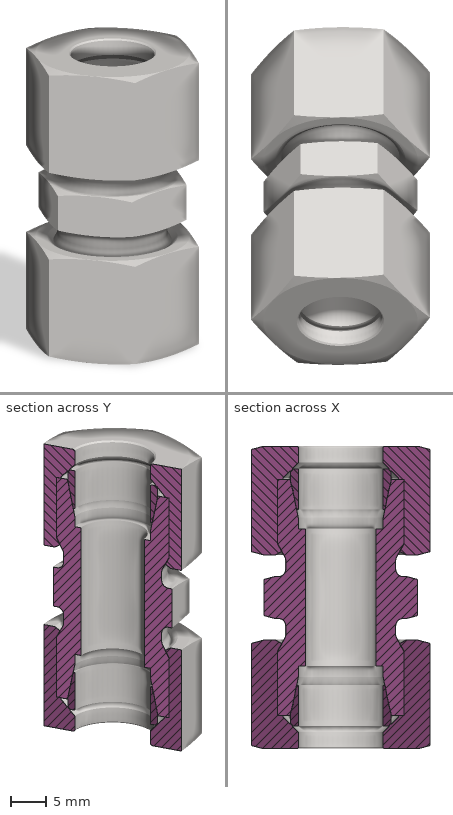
import cadquery as cq
import math


total_length = 43.0
bore_diameter = 10.0
tube_diameter = 12.0
thread_diameter = 18.0
hex_chamfer_angle = math.radians(15)
hex_turn = 30

nut_across_flats = 22.0
nut_length = 15.5
nut_face_diameter = 21.95
nut_core_diameter = 16.4
nut_mouth_diameter = 18.5
nut_mouth_angle = math.radians(60)
nut_hole_depth = 2.35
nut_rim_chamfer = 0.2

fitting_across_flats = 18.9
fitting_hex_height = 6.0
fitting_face_diameter = 18.7
neck_diameter = 15.7
neck_fillet = 1.0
runout_angle = math.radians(30)
runout_start = 5.3
seat_mouth_diameter = 14.3
seat_half_angle = math.radians(12)
fitting_end_gap = 4.75
socket_depth = 7.0

ring_end_gap = 3.22
ring_length = 5.8

nut_top = total_length / 2
nut_bottom = nut_top - nut_length
nut_cone_top = nut_top - nut_hole_depth
fitting_end = nut_top - fitting_end_gap
tube_stop = fitting_end - socket_depth
ring_top = nut_top - ring_end_gap
ring_bottom = ring_top - ring_length

bore_radius = bore_diameter / 2
tube_radius = tube_diameter / 2
thread_radius = thread_diameter / 2
neck_radius = neck_diameter / 2
seat_mouth_radius = seat_mouth_diameter / 2
seat_bottom = fitting_end - (seat_mouth_radius - tube_radius) / math.tan(seat_half_angle)


def revolved(profile):
    """Turn a closed (radius, z) profile about the Z axis."""
    return profile.close().revolve(360, (0, 0, 0), (0, 1, 0))


def chamfered_hexagon(across_flats, face_diameter, bottom, top):
    """Hexagonal prism with flats facing X and conical chamfers on both ends."""
    corner_radius = across_flats / math.sqrt(3)
    face_radius = face_diameter / 2
    drop = (corner_radius - face_radius) * math.tan(hex_chamfer_angle)
    prism = (
        cq.Workplane("XY")
        .workplane(offset=bottom)
        .polygon(6, 2 * corner_radius)
        .extrude(top - bottom)
        .rotate((0, 0, 0), (0, 0, 1), hex_turn)
    )
    envelope = revolved(
        cq.Workplane("XZ")
        .moveTo(0, bottom)
        .lineTo(face_radius, bottom)
        .lineTo(corner_radius, bottom + drop)
        .lineTo(corner_radius, top - drop)
        .lineTo(face_radius, top)
        .lineTo(0, top)
    )
    return prism.intersect(envelope)


def threaded_end():
    """Upper end of the fitting: filleted neck, run-out cone, thread, ring seat and tube socket."""
    hex_top = fitting_hex_height / 2
    fillet_top = hex_top + neck_fillet
    runout_radius = neck_radius + neck_fillet * (1 - math.cos(runout_angle))
    runout_level = runout_start + neck_fillet * math.sin(runout_angle)
    thread_start = runout_level + (thread_radius - runout_radius) / math.tan(runout_angle)
    return revolved(
        cq.Workplane("XZ")
        .moveTo(0, 0)
        .lineTo(neck_radius + neck_fillet, 0)
        .lineTo(neck_radius + neck_fillet, hex_top)
        .radiusArc((neck_radius, fillet_top), neck_fillet)
        .lineTo(neck_radius, runout_start)
        .radiusArc((runout_radius, runout_level), neck_fillet)
        .lineTo(thread_radius, thread_start)
        .lineTo(thread_radius, fitting_end)
        .lineTo(seat_mouth_radius, fitting_end)
        .lineTo(tube_radius, seat_bottom)
        .lineTo(tube_radius, tube_stop)
        .lineTo(0, tube_stop)
    )


def make_fitting():
    hex_half = fitting_hex_height / 2
    hexagon = chamfered_hexagon(fitting_across_flats, fitting_face_diameter, -hex_half, hex_half)
    upper_end = threaded_end()
    bore = cq.Workplane("XY").circle(bore_radius).extrude(total_length / 2, both=True)
    return hexagon.union(upper_end).union(upper_end.mirror("XY")).cut(bore)


def make_upper_ring():
    """Cutting ring: 45 degree rear cone against the nut, front cone in the seat of the fitting."""
    rear_radius = tube_radius + nut_cone_top - ring_top
    shoulder = ring_top - (seat_mouth_radius - rear_radius)
    tip_radius = tube_radius + (ring_bottom - seat_bottom) * math.tan(seat_half_angle)
    return revolved(
        cq.Workplane("XZ")
        .moveTo(tube_radius, ring_top)
        .lineTo(rear_radius, ring_top)
        .lineTo(seat_mouth_radius, shoulder)
        .lineTo(seat_mouth_radius, fitting_end)
        .lineTo(tip_radius, ring_bottom)
        .lineTo(tube_radius, ring_bottom)
    )


def make_upper_nut(fitting):
    """Union nut whose internal thread is the recess left by the thread of the fitting."""
    core_radius = nut_core_diameter / 2
    mouth_radius = nut_mouth_diameter / 2
    mouth_depth = (mouth_radius - core_radius) / math.tan(nut_mouth_angle)
    cavity = revolved(
        cq.Workplane("XZ")
        .moveTo(0, nut_top)
        .lineTo(tube_radius + nut_rim_chamfer, nut_top)
        .lineTo(tube_radius, nut_top - nut_rim_chamfer)
        .lineTo(tube_radius, nut_cone_top)
        .lineTo(core_radius, nut_cone_top - (core_radius - tube_radius))
        .lineTo(core_radius, nut_bottom + mouth_depth)
        .lineTo(mouth_radius, nut_bottom)
        .lineTo(0, nut_bottom)
    )
    blank = chamfered_hexagon(nut_across_flats, nut_face_diameter, nut_bottom, nut_top)
    return blank.cut(cavity).cut(fitting)


def mirrored_pair(upper_body):
    """The upper solid and its mirror image at the lower end."""
    return [copy.solids().val() for copy in (upper_body, upper_body.mirror("XY"))]


fitting = make_fitting()
rings = mirrored_pair(make_upper_ring())
nuts = mirrored_pair(make_upper_nut(fitting))

result = cq.Compound.makeCompound([fitting.solids().val(), *rings, *nuts])